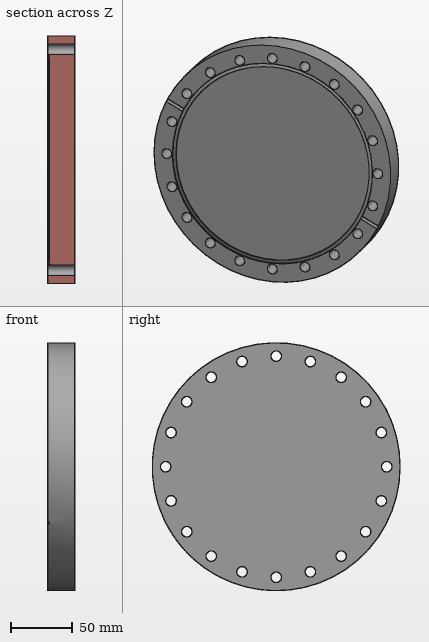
import cadquery as cq
import math

FLANGE_DIAMETER = 203.0
FLANGE_THICKNESS = 22.3
FLANGE_RADIUS = FLANGE_DIAMETER / 2
SEAL_FACE_X = -FLANGE_THICKNESS / 2
BACK_FACE_X = FLANGE_THICKNESS / 2

RECESS_RADIUS = 171.5 / 2
KNIFE_EDGE_RADIUS = 165.8 / 2
KNIFE_EDGE_DEPTH = 0.6
KNIFE_FLANK_ANGLE = 20.0
FLANK_DROP = (RECESS_RADIUS - KNIFE_EDGE_RADIUS) * math.tan(math.radians(KNIFE_FLANK_ANGLE))
RECESS_DEPTH = KNIFE_EDGE_DEPTH + FLANK_DROP
CENTRE_DEPTH = 1.2
CENTRE_RADIUS = 165.4 / 2

BOLT_COUNT = 20
BOLT_HOLE_DIAMETER = 8.4
BOLT_CIRCLE_RADIUS = 181.0 / 2

GROOVE_WIDTH = 2.8
GROOVE_DEPTH = 1.2
GROOVE_OVERLAP = 0.1
GROOVE_ANGLES = (27.0, 207.0)


def flange_body():
    """Revolve the half section (radius along Y) about the X axis."""
    knife_x = SEAL_FACE_X + KNIFE_EDGE_DEPTH
    centre_x = SEAL_FACE_X + CENTRE_DEPTH
    return (
        cq.Workplane("XY")
        .moveTo(BACK_FACE_X, 0)
        .lineTo(BACK_FACE_X, FLANGE_RADIUS)
        .lineTo(SEAL_FACE_X, FLANGE_RADIUS)
        .lineTo(SEAL_FACE_X, RECESS_RADIUS)
        .lineTo(SEAL_FACE_X + RECESS_DEPTH, RECESS_RADIUS)
        .lineTo(knife_x, KNIFE_EDGE_RADIUS)
        .lineTo(centre_x, CENTRE_RADIUS)
        .lineTo(centre_x, 0)
        .close()
        .revolve(360, (0, 0, 0), (1, 0, 0))
    )


def bolt_holes():
    """Through holes evenly spaced on the bolt circle, one of them on the Y axis."""
    return (
        cq.Workplane("YZ", origin=(SEAL_FACE_X, 0, 0))
        .polarArray(BOLT_CIRCLE_RADIUS, 0, 360, BOLT_COUNT)
        .circle(BOLT_HOLE_DIAMETER / 2)
        .extrude(FLANGE_THICKNESS)
    )


def leak_check_groove(angle):
    """Radial cylinder centred on the arc through the groove's edges and floor."""
    groove_radius = (GROOVE_WIDTH**2 / 4 + GROOVE_DEPTH**2) / (2 * GROOVE_DEPTH)
    axis_x = SEAL_FACE_X + GROOVE_DEPTH - groove_radius
    groove_start = RECESS_RADIUS - GROOVE_OVERLAP
    return (
        cq.Workplane("XZ", origin=(axis_x, groove_start, 0))
        .circle(groove_radius)
        .extrude(-(FLANGE_RADIUS - groove_start + groove_radius))
        .rotate((0, 0, 0), (1, 0, 0), angle)
    )


result = flange_body().cut(bolt_holes())
for groove_angle in GROOVE_ANGLES:
    result = result.cut(leak_check_groove(groove_angle))